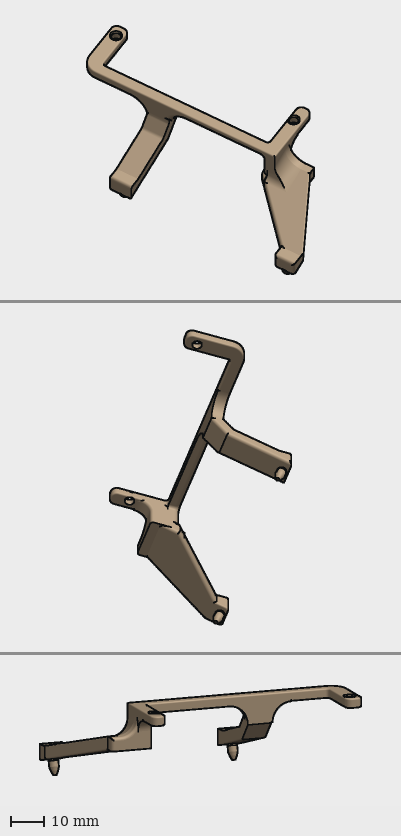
import cadquery as cq
import math

FRAME_THICKNESS = 3.0
FRAME_RIGHT = 68.8
BAR_WIDTH = 3.9
LEFT_ARM_WIDTH = 5.35
RIGHT_ARM_WIDTH = 4.5
LEFT_ARM_END = 19.4
RIGHT_ARM_END = 21.5
OUTER_CORNER_RADIUS = 5.0
INNER_CORNER_RADIUS = 1.0
ARM_TIP_RADIUS = 2.0
FRAME_EDGE_FILLET = 0.5

HOLE_DIAMETER = 2.85
HOLE_RIM_DIAMETER = 3.7
HOLE_Y = 15.5
HOLE_X_POSITIONS = (2.9, 65.9)

LEG_FRONT = -21.8
LEG_PAD_BACK = -17.8
LEG_BEND_Y = 6.15
LEG_BEND_Z = -8.5
LEG_SLOPE = 0.3
LEG_DEPTH = 4.2
LEG_EDGE_FILLET = 1.0
SHALLOW_FILLET = 0.5
TAPER_FILLET = 0.45

MIDDLE_LEG_LEFT = 23.3
MIDDLE_LEG_WIDTH = 8.0
WEB_RADIUS = 6.0
KNEE_TOP_Z = -7.5
KNEE_RADIUS = 1.6
KNEE_TOP_FRONT_Y = -3.4
KNEE_BACK_Z = -9.2
KNEE_BOTTOM_Y = -1.2

RIGHT_LEG_RIGHT = 89.1
COLUMN_BACK = 9.3
COLUMN_SIDE_RADIUS = 5.5
COLUMN_FRONT_RADIUS = 3.0
COLUMN_REAR_RADIUS = 4.0
LEG_SHOULDER_X = 77.4
RIGHT_PAD_WIDTH = 7.0
RIGHT_PAD_SIDE_BACK = -16.6
FRONT_OPENING_FILLET = 2.0

PIN_Y = -19.95
PIN_NECK_DIAMETER = 2.8
PIN_DIAMETER = 3.0
PIN_TIP_DIAMETER = 1.1
PIN_NECK_LENGTH = 0.5
PIN_BARREL_END = 2.4
PIN_SHOULDER_LENGTH = 3.6
PIN_SHOULDER_DIAMETER = 2.3
PIN_LENGTH = 4.9
PIN_EMBED = 0.9
PIN_X_POSITIONS = (MIDDLE_LEG_LEFT + MIDDLE_LEG_WIDTH / 2, 85.1)

SLOPE_ANGLE = math.atan(LEG_SLOPE)
BAR_BOTTOM = -FRAME_THICKNESS
COLUMN_LEFT = FRAME_RIGHT - RIGHT_ARM_WIDTH
COLUMN_FOOT_RIGHT = FRAME_RIGHT + COLUMN_SIDE_RADIUS
MIDDLE_LEG_RIGHT = MIDDLE_LEG_LEFT + MIDDLE_LEG_WIDTH
RIGHT_PAD_LEFT = RIGHT_LEG_RIGHT - RIGHT_PAD_WIDTH
DIAGONAL = math.sqrt(0.5)
TOLERANCE = 0.1


def leg_top(y):
    """Height of the sloping upper face of the legs."""
    return LEG_BEND_Z - LEG_SLOPE * (LEG_BEND_Y - y)


def leg_bottom(y):
    """Height of the sloping underside of the legs."""
    return leg_top(y) - LEG_DEPTH


def extrude_along_x(profile, x_start, x_end):
    """Extrude a closed YZ profile, given as a list of points, between two X positions."""
    return cq.Workplane("YZ", origin=(x_start, 0, 0)).polyline(profile).close().extrude(x_end - x_start)


def pick_edges(body, selector, test):
    """Pick the edges of a selected group whose centre passes a test."""
    group = body.edges(selector) if selector else body.edges()
    return body.newObject([edge for edge in group.vals() if test(edge.Center())])


def near(a, b):
    """True when two coordinates agree within the selection tolerance."""
    return abs(a - b) < TOLERANCE


def make_frame():
    """U-shaped frame with rounded corners and edges."""
    outline = [
        (0, 0),
        (FRAME_RIGHT, 0),
        (FRAME_RIGHT, RIGHT_ARM_END),
        (COLUMN_LEFT, RIGHT_ARM_END),
        (COLUMN_LEFT, BAR_WIDTH),
        (LEFT_ARM_WIDTH, BAR_WIDTH),
        (LEFT_ARM_WIDTH, LEFT_ARM_END),
        (0, LEFT_ARM_END),
    ]
    frame = cq.Workplane("XY").polyline(outline).close().extrude(BAR_BOTTOM)
    frame = pick_edges(frame, "|Z", lambda c: near(c.x, 0) and near(c.y, 0)).fillet(OUTER_CORNER_RADIUS)
    frame = pick_edges(frame, "|Z", lambda c: near(c.y, BAR_WIDTH)).fillet(INNER_CORNER_RADIUS)
    frame = pick_edges(frame, "|Z", lambda c: c.y > LEFT_ARM_END - TOLERANCE).fillet(ARM_TIP_RADIUS)
    return frame.faces(">Z or <Z").edges().fillet(FRAME_EDGE_FILLET)


def make_opening_clearance():
    """Lower part of the bar to the right of the middle leg, where the front wall takes over."""
    return (
        cq.Workplane("XY", origin=(MIDDLE_LEG_RIGHT, 0, -FRAME_EDGE_FILLET))
        .rect(FRAME_RIGHT - MIDDLE_LEG_RIGHT, BAR_WIDTH, centered=False)
        .extrude(BAR_BOTTOM)
    )


def make_front_wall():
    """Bar front with the flared web of the middle leg and the front of the column."""
    web_bottom = BAR_BOTTOM - WEB_RADIUS
    arc_middle_z = web_bottom + WEB_RADIUS * DIAGONAL
    left_centre = MIDDLE_LEG_LEFT - WEB_RADIUS
    right_centre = MIDDLE_LEG_RIGHT + WEB_RADIUS
    wall = (
        cq.Workplane("XZ")
        .moveTo(left_centre, -FRAME_EDGE_FILLET)
        .lineTo(left_centre, BAR_BOTTOM)
        .threePointArc((left_centre + WEB_RADIUS * DIAGONAL, arc_middle_z), (MIDDLE_LEG_LEFT, web_bottom))
        .lineTo(MIDDLE_LEG_RIGHT, web_bottom)
        .threePointArc((right_centre - WEB_RADIUS * DIAGONAL, arc_middle_z), (right_centre, BAR_BOTTOM))
        .lineTo(COLUMN_LEFT, BAR_BOTTOM)
        .lineTo(COLUMN_LEFT, leg_top(0))
        .lineTo(FRAME_RIGHT, leg_top(0))
        .lineTo(FRAME_RIGHT, -FRAME_EDGE_FILLET)
        .close()
        .extrude(-BAR_WIDTH)
    )
    wall = pick_edges(
        wall, "|Y", lambda c: near(c.x, COLUMN_LEFT) and near(c.z, BAR_BOTTOM)
    ).fillet(INNER_CORNER_RADIUS)

    def on_left_flare(c):
        return c.x < MIDDLE_LEG_LEFT and web_bottom < c.z < BAR_BOTTOM

    def on_opening(c):
        beside_opening = MIDDLE_LEG_RIGHT < c.x < COLUMN_LEFT + TOLERANCE
        return beside_opening and leg_top(0) < c.z < BAR_BOTTOM + TOLERANCE

    wall = pick_edges(wall.faces("<Y"), "", on_left_flare).fillet(FRAME_EDGE_FILLET)
    return pick_edges(wall.faces("<Y"), "", on_opening).fillet(FRONT_OPENING_FILLET)


def make_middle_leg():
    """Straight leg that steps out below the web and slopes down to a level pad."""
    profile = [
        (0, BAR_BOTTOM - WEB_RADIUS / 2),
        (0, KNEE_TOP_Z),
        (KNEE_TOP_FRONT_Y, leg_top(KNEE_TOP_FRONT_Y)),
        (LEG_PAD_BACK, leg_top(LEG_PAD_BACK)),
        (LEG_FRONT, leg_top(LEG_PAD_BACK)),
        (LEG_FRONT, leg_bottom(LEG_FRONT)),
        (KNEE_BOTTOM_Y, leg_bottom(KNEE_BOTTOM_Y)),
        (BAR_WIDTH, KNEE_BACK_Z),
        (BAR_WIDTH, BAR_BOTTOM - WEB_RADIUS),
    ]
    leg = extrude_along_x(profile, MIDDLE_LEG_LEFT, MIDDLE_LEG_RIGHT)

    def on_upper_knee(c):
        at_top = near(c.y, 0) and near(c.z, KNEE_TOP_Z)
        at_foot = near(c.y, KNEE_TOP_FRONT_Y) and near(c.z, leg_top(KNEE_TOP_FRONT_Y))
        return at_top or at_foot

    def on_underside(c):
        return near(c.z, leg_bottom(c.y)) and LEG_FRONT + TOLERANCE < c.y < KNEE_BOTTOM_Y

    leg = pick_edges(leg, "|X", on_upper_knee).fillet(KNEE_RADIUS)
    soft_edges = leg.faces("<X").edges().add(leg.faces("<Y").edges(">Z"))
    leg = pick_edges(soft_edges, "", lambda c: c.y < BAR_WIDTH / 2 - TOLERANCE).fillet(LEG_EDGE_FILLET)
    return pick_edges(leg.faces(">X"), "", on_underside).fillet(SHALLOW_FILLET)


def make_right_leg():
    """Tapered sheet, bent down towards the front, that ends in a level pad."""
    profile = [
        (COLUMN_BACK, LEG_BEND_Z),
        (LEG_BEND_Y, LEG_BEND_Z),
        (LEG_PAD_BACK, leg_top(LEG_PAD_BACK)),
        (LEG_FRONT, leg_top(LEG_PAD_BACK)),
        (LEG_FRONT, leg_bottom(LEG_FRONT)),
        (LEG_BEND_Y, leg_bottom(LEG_BEND_Y)),
        (COLUMN_BACK, leg_bottom(LEG_BEND_Y)),
    ]
    outline = [
        (COLUMN_LEFT, COLUMN_BACK),
        (COLUMN_LEFT, 0),
        (RIGHT_PAD_LEFT, LEG_PAD_BACK),
        (RIGHT_PAD_LEFT, LEG_FRONT),
        (RIGHT_LEG_RIGHT, LEG_FRONT),
        (RIGHT_LEG_RIGHT, RIGHT_PAD_SIDE_BACK),
        (LEG_SHOULDER_X, LEG_BEND_Y),
        (LEG_SHOULDER_X, COLUMN_BACK),
    ]
    plan = cq.Workplane("XY").polyline(outline).close().extrude(leg_bottom(LEG_FRONT))
    leg = extrude_along_x(profile, COLUMN_LEFT, RIGHT_LEG_RIGHT).intersect(plan)
    middle_x = (LEG_SHOULDER_X + RIGHT_LEG_RIGHT) / 2

    def on_right_taper(c):
        return near(c.x, middle_x) and near(c.z, leg_top(c.y))

    def on_pad_front(c):
        return near(c.y, LEG_FRONT) and c.z > leg_bottom(LEG_FRONT) + TOLERANCE

    def on_left_top(c):
        return near(c.z, leg_top(c.y)) and c.x < RIGHT_PAD_LEFT - 0.9 and LEG_PAD_BACK < c.y < 0

    def on_left_underside(c):
        return near(c.z, leg_bottom(c.y)) and c.x < RIGHT_PAD_LEFT - 0.9 and c.y < LEG_BEND_Y - 0.9

    def on_right_underside(c):
        return near(c.z, leg_bottom(c.y)) and c.x > RIGHT_PAD_LEFT - TOLERANCE and c.y < 0

    leg = pick_edges(leg, "", on_pad_front).fillet(LEG_EDGE_FILLET)
    leg = pick_edges(leg, "not |Z", on_left_top).fillet(LEG_EDGE_FILLET)
    leg = pick_edges(leg, "not |Z", on_left_underside).fillet(LEG_EDGE_FILLET)
    leg = pick_edges(leg, "not |Z", on_right_taper).fillet(TAPER_FILLET)
    return pick_edges(leg, "not |Z", on_right_underside).fillet(SHALLOW_FILLET)


def make_column():
    """Column whose right and front faces sweep down into the top of the leg."""
    embedded_z = LEG_BEND_Z - LEG_DEPTH / 2
    arc_inset = COLUMN_SIDE_RADIUS * (1 - DIAGONAL)
    sweep_depth = LEG_BEND_Y - LEG_PAD_BACK
    side_profile = (
        cq.Workplane("XZ", origin=(0, LEG_BEND_Y, 0))
        .moveTo(COLUMN_LEFT, embedded_z)
        .lineTo(COLUMN_FOOT_RIGHT, embedded_z)
        .lineTo(COLUMN_FOOT_RIGHT, LEG_BEND_Z)
        .threePointArc(
            (FRAME_RIGHT + arc_inset, LEG_BEND_Z + arc_inset),
            (FRAME_RIGHT, LEG_BEND_Z + COLUMN_SIDE_RADIUS),
        )
        .lineTo(FRAME_RIGHT, sweep_depth)
        .lineTo(COLUMN_LEFT, sweep_depth)
        .close()
    )
    flat_part = side_profile.extrude(LEG_BEND_Y - COLUMN_BACK)
    sloped_part = cq.Workplane(
        cq.Solid.extrudeLinear(
            side_profile.val(), [], cq.Vector(0, -sweep_depth, -LEG_SLOPE * sweep_depth)
        )
    )

    tangent = COLUMN_FRONT_RADIUS * math.tan((math.pi / 2 - SLOPE_ANGLE) / 2)
    sweep_top = leg_top(0) + tangent
    foot_y = -tangent * math.cos(SLOPE_ANGLE)
    mid_angle = (math.pi / 2 - SLOPE_ANGLE) / 2
    mid_point = (
        -COLUMN_FRONT_RADIUS * (1 - math.cos(mid_angle)),
        sweep_top - COLUMN_FRONT_RADIUS * math.sin(mid_angle),
    )
    front_sweep = (
        cq.Workplane("YZ", origin=(COLUMN_LEFT, 0, 0))
        .moveTo(0, -FRAME_EDGE_FILLET)
        .lineTo(0, sweep_top)
        .threePointArc(mid_point, (foot_y, leg_top(foot_y)))
        .lineTo(foot_y, leg_bottom(foot_y) + LEG_DEPTH / 2)
        .lineTo(COLUMN_BACK, embedded_z)
        .lineTo(COLUMN_BACK, -FRAME_EDGE_FILLET)
        .close()
        .extrude(COLUMN_FOOT_RIGHT - COLUMN_LEFT)
    )

    corner = FRONT_OPENING_FILLET
    plan = (
        cq.Workplane("XY")
        .moveTo(COLUMN_LEFT, COLUMN_BACK)
        .lineTo(COLUMN_LEFT, corner)
        .radiusArc((COLUMN_LEFT + corner, 0), -corner)
        .lineTo(COLUMN_LEFT + corner, foot_y)
        .lineTo(COLUMN_FOOT_RIGHT, foot_y)
        .lineTo(COLUMN_FOOT_RIGHT, COLUMN_BACK)
        .close()
        .extrude(leg_bottom(LEG_FRONT))
    )
    return flat_part.union(sloped_part).intersect(front_sweep).intersect(plan)


def make_column_rear():
    """Rounded brace between the underside of the right arm and the back of the column."""
    rear_end = COLUMN_BACK + COLUMN_REAR_RADIUS
    inset = COLUMN_REAR_RADIUS * (1 - DIAGONAL)
    return (
        cq.Workplane("YZ", origin=(COLUMN_LEFT, 0, 0))
        .moveTo(LEG_BEND_Y, -FRAME_EDGE_FILLET)
        .lineTo(rear_end, -FRAME_EDGE_FILLET)
        .lineTo(rear_end, BAR_BOTTOM)
        .threePointArc(
            (COLUMN_BACK + inset, BAR_BOTTOM - inset),
            (COLUMN_BACK, BAR_BOTTOM - COLUMN_REAR_RADIUS),
        )
        .lineTo(COLUMN_BACK, leg_bottom(LEG_BEND_Y))
        .lineTo(LEG_BEND_Y, leg_bottom(LEG_BEND_Y))
        .close()
        .extrude(RIGHT_ARM_WIDTH)
    )


def make_right_support():
    """Right leg joined to its column and brace, with the exposed back edges rounded."""
    underside = leg_bottom(LEG_BEND_Y)

    def on_back_rim(c):
        return near(c.y, COLUMN_BACK) and c.x > FRAME_RIGHT + TOLERANCE and c.z > underside + TOLERANCE

    def on_left_back(c):
        at_back_left = near(c.x, COLUMN_LEFT) and c.y > COLUMN_BACK - TOLERANCE
        return at_back_left and underside + TOLERANCE < c.z < BAR_BOTTOM - TOLERANCE

    support = make_right_leg().union(make_column())
    support = pick_edges(support, "", on_back_rim).fillet(LEG_EDGE_FILLET)
    support = support.union(make_column_rear())
    return pick_edges(support, "", on_left_back).fillet(LEG_EDGE_FILLET)


def make_pin(x):
    """Stepped, pointed pin, revolved about its axis and leaned to suit the leg underside."""
    half_outline = [
        (0, PIN_EMBED),
        (PIN_NECK_DIAMETER / 2, PIN_EMBED),
        (PIN_NECK_DIAMETER / 2, -PIN_NECK_LENGTH),
        (PIN_DIAMETER / 2, -PIN_NECK_LENGTH),
        (PIN_DIAMETER / 2, -PIN_BARREL_END),
        (PIN_SHOULDER_DIAMETER / 2, -PIN_SHOULDER_LENGTH),
        (PIN_TIP_DIAMETER / 2, -PIN_LENGTH),
        (0, -PIN_LENGTH),
    ]
    pin = cq.Workplane("XZ").polyline(half_outline).close().revolve(360, (0, 0, 0), (0, 1, 0))
    pin = pin.rotate((0, 0, 0), (1, 0, 0), math.degrees(SLOPE_ANGLE))
    return pin.translate((x, PIN_Y, leg_bottom(PIN_Y)))


def make_hole(x):
    """Cutter for an arm hole with a chamfered upper rim."""
    radius = HOLE_DIAMETER / 2
    rim = HOLE_RIM_DIAMETER / 2
    half_outline = [
        (0, 0),
        (rim, 0),
        (radius, radius - rim),
        (radius, -FRAME_THICKNESS),
        (0, -FRAME_THICKNESS),
    ]
    cutter = cq.Workplane("XZ").polyline(half_outline).close().revolve(360, (0, 0, 0), (0, 1, 0))
    return cutter.translate((x, HOLE_Y, 0))


result = (
    make_frame()
    .cut(make_opening_clearance())
    .union(make_front_wall())
    .union(make_middle_leg())
    .union(make_right_support())
)
for pin_x in PIN_X_POSITIONS:
    result = result.union(make_pin(pin_x))
for hole_x in HOLE_X_POSITIONS:
    result = result.cut(make_hole(hole_x))